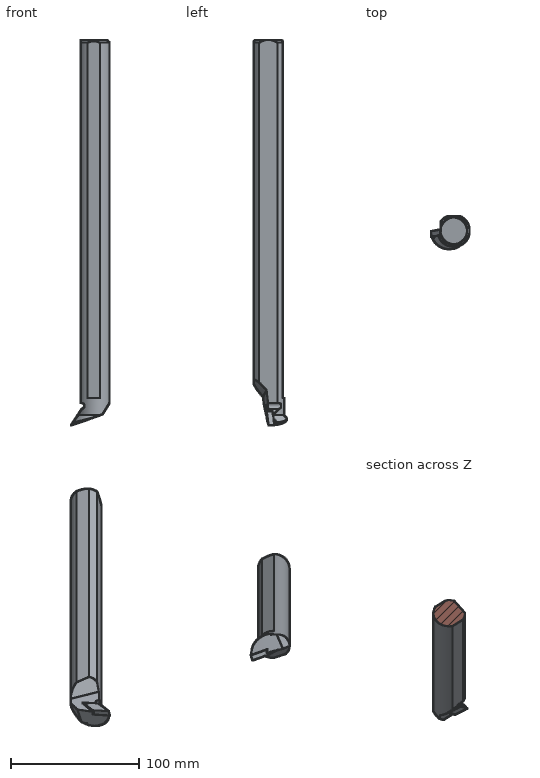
import cadquery as cq
import math

LENGTH = 301.2
SHANK_RADIUS = 12.5
TOP_CHAMFER = 2.0
SIDE_FLAT_Y = 11.5
CLAMP_FLAT_X = 10.2
FRONT_FLAT_END_Z = 21.7
CLAMP_FLAT_END_Z = 15.7
BIG = 60.2

TIP_X = -17.92
LEAD_ANGLE = 57
TRAIL_ANGLE = 19
EDGE_LENGTH = 14.0
LEAD_SIDE_LENGTH = 15.5

HEAD_RADIUS = 14.5
HEAD_AXIS_X = TIP_X + HEAD_RADIUS
CONE_TOP_Z = 8.0
CONE_FLARE = 0.9
HEEL_X = 7.0
HEEL_Z = 8.7
BEVEL_TOP_Z = 17.8

GROOVE_DIAMETER = 4.5
GROOVE_X = -9.5
GROOVE_Z = 15.5

FACE_SKEW = 9
FACE_FOOT = (-1.8, 0)
FACE_SHOULDER = (1.35, 27.7)
RUNOUT_SKEW = 20
RUNOUT_SLOPE = 1.1

INSERT_THICKNESS = 4.5
INSERT_TIP_Y = -0.3
POCKET_OPENING = 1.5
INSERT_TILT = 4.6


def along(start, angle, length):
    """Point reached from start at an angle above +X in the XZ plane."""
    turn = math.radians(angle)
    return (start[0] + length * math.cos(turn), start[1] + length * math.sin(turn))


TIP = (TIP_X, 0)
LEAD_END = along(TIP, LEAD_ANGLE, EDGE_LENGTH)
TRAIL_END = along(TIP, TRAIL_ANGLE, EDGE_LENGTH)
FAR_CORNER = along(LEAD_END, TRAIL_ANGLE, EDGE_LENGTH)


def make_shank():
    shank = cq.Workplane("XY").circle(SHANK_RADIUS).extrude(LENGTH)
    shank = shank.faces(">Z").chamfer(TOP_CHAMFER)
    back_flat = cq.Workplane("XY").box(BIG, BIG, LENGTH, centered=(True, False, False))
    back_flat = back_flat.translate((0, SIDE_FLAT_Y, 0))
    front_flat = back_flat.mirror("XZ").translate((0, 0, FRONT_FLAT_END_Z))
    clamp_flat = cq.Workplane("XY").box(BIG, BIG, LENGTH, centered=(False, True, False))
    clamp_flat = clamp_flat.translate((-CLAMP_FLAT_X - BIG, 0, CLAMP_FLAT_END_Z))
    return shank.cut(back_flat).cut(front_flat).cut(clamp_flat)


def make_head():
    """Flared head around the lower end of the shank."""
    foot_radius = SHANK_RADIUS + CONE_FLARE * CONE_TOP_Z
    cone = (
        cq.Workplane("XZ")
        .polyline([(0, 0), (foot_radius, 0), (SHANK_RADIUS, CONE_TOP_Z), (0, CONE_TOP_Z)])
        .close()
        .revolve(360, (0, 0), (0, 1))
    )
    envelope = cq.Workplane("XY").center(HEAD_AXIS_X, 0).circle(HEAD_RADIUS).extrude(CONE_TOP_Z)
    return cone.intersect(envelope)


def make_side_outline():
    """Outline of the whole bar in the XZ plane, extruded through Y."""
    outline = (
        cq.Workplane("XZ")
        .polyline([
            TIP,
            TRAIL_END,
            (HEEL_X, HEEL_Z),
            (SHANK_RADIUS, BEVEL_TOP_Z),
            (SHANK_RADIUS, LENGTH),
            (-CLAMP_FLAT_X, LENGTH),
            (-CLAMP_FLAT_X, GROOVE_Z),
            (GROOVE_X, GROOVE_Z),
            along(TIP, LEAD_ANGLE, LEAD_SIDE_LENGTH),
        ])
        .close()
        .extrude(BIG, both=True)
    )
    groove = (
        cq.Workplane("XZ")
        .center(GROOVE_X, GROOVE_Z)
        .circle(GROOVE_DIAMETER / 2)
        .extrude(BIG, both=True)
    )
    return outline.cut(groove)


def skewed_prism(points, skew):
    """Prism along X from (Y, Z) points, turned about Z on the plane of the -X flat."""
    prism = cq.Workplane("YZ").polyline(points).close().extrude(BIG, both=True)
    return prism.rotate((0, 0, 0), (0, 0, 1), skew).translate((-CLAMP_FLAT_X, 0, 0))


def make_face_relief():
    """Material removed from the +Y side of the head, ending in a sloped runout."""
    foot_y, foot_z = FACE_FOOT
    shoulder_y, shoulder_z = FACE_SHOULDER
    face_slope = (shoulder_y - foot_y) / (shoulder_z - foot_z)
    beyond_face = skewed_prism(
        [FACE_FOOT, (foot_y + face_slope * BIG, foot_z + BIG), (BIG, BIG), (BIG, foot_z)],
        FACE_SKEW,
    )
    runout_rise = RUNOUT_SLOPE * BIG
    below_runout = skewed_prism(
        [
            (shoulder_y - BIG, shoulder_z - runout_rise),
            (shoulder_y + BIG, shoulder_z + runout_rise),
            (shoulder_y + BIG, shoulder_z - runout_rise),
        ],
        RUNOUT_SKEW,
    )
    return beyond_face.intersect(below_runout)


def make_insert():
    """Rhombic insert with its tip at the cutting point."""
    return (
        cq.Workplane("XZ")
        .polyline([TIP, TRAIL_END, FAR_CORNER, LEAD_END])
        .close()
        .extrude(INSERT_THICKNESS)
        .translate((0, INSERT_TIP_Y, 0))
        .rotate((TIP_X, INSERT_TIP_Y, 0), (TIP_X, INSERT_TIP_Y, 1), INSERT_TILT)
        .rotate((TIP_X, INSERT_TIP_Y, 0), (TIP_X + 3, INSERT_TIP_Y, 0), -INSERT_TILT)
    )


def make_pocket(insert):
    """Seat of the insert, open past both of its cutting edges."""
    outward_x, outward_z = along((0, 0), (LEAD_ANGLE + TRAIL_ANGLE) / 2 + 180, POCKET_OPENING)
    return insert.union(insert.translate((outward_x, 0, outward_z)))


def make_holder(insert):
    holder = make_shank().union(make_head()).intersect(make_side_outline())
    return holder.cut(make_face_relief()).cut(make_pocket(insert))


insert = make_insert()
holder = make_holder(insert)

result = cq.Compound.makeCompound([holder.solids().val(), insert.val()])